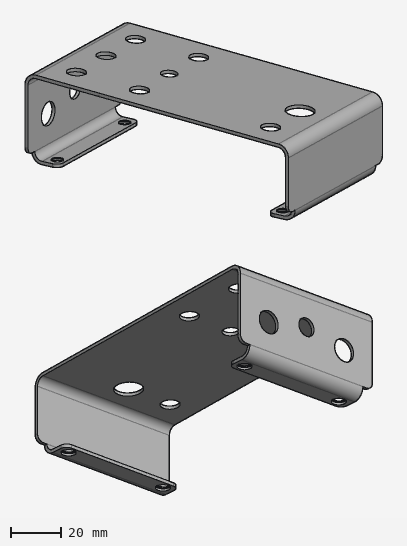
import cadquery as cq
import math

LENGTH = 125.0
WIDTH = 70.0
HEIGHT = 40.0
SHEET = 1.5
BEND_RADIUS = 5.0
TOP_SLOPE = 3.0

FOOT_LENGTH = 13.0
FOOT_WIDTH = 60.0
CORNER_RADIUS = 3.0
FOOT_HOLE_DIAMETER = 5.0
FOOT_COUNTERBORE_DIAMETER = 6.0
FOOT_COUNTERBORE_DEPTH = 1.0
FOOT_HOLE_INSET = 9.0
FOOT_HOLE_Y = 25.0

SIDE_ROW_Y = 22.0
LEFT_COLUMN_X = 16.15
MIDDLE_COLUMN_X = 46.1
RIGHT_COLUMN_X = 108.25
TOP_HOLE_DIAMETER = 8.0
SMALL_HOLE_DIAMETER = 7.0
LARGE_HOLE_DIAMETER = 12.0
TOP_HOLES = [
    (LEFT_COLUMN_X, -SIDE_ROW_Y, TOP_HOLE_DIAMETER),
    (LEFT_COLUMN_X, 0.0, TOP_HOLE_DIAMETER),
    (LEFT_COLUMN_X, SIDE_ROW_Y, TOP_HOLE_DIAMETER),
    (MIDDLE_COLUMN_X, -SIDE_ROW_Y, TOP_HOLE_DIAMETER),
    (MIDDLE_COLUMN_X, 0.0, SMALL_HOLE_DIAMETER),
    (MIDDLE_COLUMN_X, SIDE_ROW_Y, TOP_HOLE_DIAMETER),
    (RIGHT_COLUMN_X, -SIDE_ROW_Y, TOP_HOLE_DIAMETER),
    (RIGHT_COLUMN_X, 0.0, LARGE_HOLE_DIAMETER),
]

OUTER_WALL_HOLE_Y = 20.0
OUTER_WALL_HOLE_Z = 18.0
OUTER_WALL_HOLE_DIAMETER = 10.0
CENTER_WALL_HOLE_Z = 22.0
CENTER_WALL_HOLE_DIAMETER = 8.0
WALL_HOLES = [
    (-OUTER_WALL_HOLE_Y, OUTER_WALL_HOLE_Z, OUTER_WALL_HOLE_DIAMETER),
    (0.0, CENTER_WALL_HOLE_Z, CENTER_WALL_HOLE_DIAMETER),
    (OUTER_WALL_HOLE_Y, OUTER_WALL_HOLE_Z, OUTER_WALL_HOLE_DIAMETER),
]

LEFT_BEND_X = BEND_RADIUS
RIGHT_BEND_X = LENGTH - BEND_RADIUS
LEFT_BEND_Z = HEIGHT - BEND_RADIUS
TOP_DROP = (RIGHT_BEND_X - LEFT_BEND_X) * math.tan(math.radians(TOP_SLOPE))
RIGHT_BEND_Z = LEFT_BEND_Z - TOP_DROP


def on_bend(center_x, center_z, radius, angle):
    """Point on a bend arc, with the angle in degrees from +X towards +Z."""
    turn = math.radians(angle)
    return (center_x + radius * math.cos(turn), center_z + radius * math.sin(turn))


def skin_solid(offset):
    """Solid as wide as the part, bounded by the outer skin moved inwards by offset."""
    radius = BEND_RADIUS - offset
    bends = [
        (LEFT_BEND_X, BEND_RADIUS, 270.0, 180.0),
        (LEFT_BEND_X, LEFT_BEND_Z, 180.0, 90.0 - TOP_SLOPE),
        (RIGHT_BEND_X, RIGHT_BEND_Z, 90.0 - TOP_SLOPE, 0.0),
        (RIGHT_BEND_X, BEND_RADIUS, 0.0, -90.0),
    ]
    profile = cq.Workplane("XZ").moveTo(LENGTH / 2, offset)
    for center_x, center_z, start, end in bends:
        profile = profile.lineTo(*on_bend(center_x, center_z, radius, start))
        profile = profile.threePointArc(
            on_bend(center_x, center_z, radius, (start + end) / 2),
            on_bend(center_x, center_z, radius, end),
        )
    return profile.close().extrude(WIDTH / 2, both=True)


def bent_sheet():
    """Full-width bent strip, with a gap between the two feet."""
    gap_length = LENGTH - 2 * FOOT_LENGTH
    gap = (
        cq.Workplane("XY")
        .center(LENGTH / 2, 0)
        .rect(gap_length, WIDTH)
        .extrude(SHEET)
    )
    return skin_solid(0.0).cut(skin_solid(SHEET)).cut(gap)


def wall_outline():
    """End-wall outline above the feet, run through the whole length."""
    return (
        cq.Workplane("YZ")
        .center(0, (HEIGHT + BEND_RADIUS) / 2)
        .rect(WIDTH, HEIGHT - BEND_RADIUS)
        .extrude(LENGTH)
        .edges("|X and <Z")
        .fillet(CORNER_RADIUS)
    )


def feet_outline():
    """Plan outline of both feet and their lower bends, free corners rounded."""
    outline = None
    for start_x, free_side in ((0.0, ">X"), (LENGTH - FOOT_LENGTH, "<X")):
        foot = (
            cq.Workplane("XY")
            .center(start_x + FOOT_LENGTH / 2, 0)
            .rect(FOOT_LENGTH, FOOT_WIDTH)
            .extrude(BEND_RADIUS)
            .edges("|Z and " + free_side)
            .fillet(CORNER_RADIUS)
        )
        outline = foot if outline is None else outline.union(foot)
    return outline


def top_holes():
    """Cutters square to the sloping top, placed on its outer face."""
    slope = math.radians(TOP_SLOPE)
    normal = cq.Vector(math.sin(slope), 0, math.cos(slope))
    reach = 2 * SHEET
    cutters = cq.Workplane("XY")
    for x, y, diameter in TOP_HOLES:
        face_z = LEFT_BEND_Z + BEND_RADIUS / math.cos(slope) - (x - LEFT_BEND_X) * math.tan(slope)
        start = cq.Vector(x, y, face_z) - normal * reach
        cutters = cutters.add(cq.Solid.makeCylinder(diameter / 2, 2 * reach, start, normal))
    return cutters.combine()


def wall_holes():
    """Cutters through the taller end wall only."""
    cutters = cq.Workplane("YZ")
    for y, z, diameter in WALL_HOLES:
        cutters = cutters.moveTo(y, z).circle(diameter / 2)
    return cutters.extrude(SHEET)


def foot_holes():
    """One cutter near each end of both feet, counterbored from below."""
    points = [
        (x, y)
        for x in (FOOT_HOLE_INSET, LENGTH - FOOT_HOLE_INSET)
        for y in (-FOOT_HOLE_Y, FOOT_HOLE_Y)
    ]
    base = cq.Workplane("XY").pushPoints(points)
    holes = base.circle(FOOT_HOLE_DIAMETER / 2).extrude(SHEET)
    counterbores = base.circle(FOOT_COUNTERBORE_DIAMETER / 2).extrude(FOOT_COUNTERBORE_DEPTH)
    return holes.union(counterbores)


envelope = wall_outline().union(feet_outline())
result = bent_sheet().intersect(envelope)
result = result.cut(top_holes()).cut(wall_holes()).cut(foot_holes())